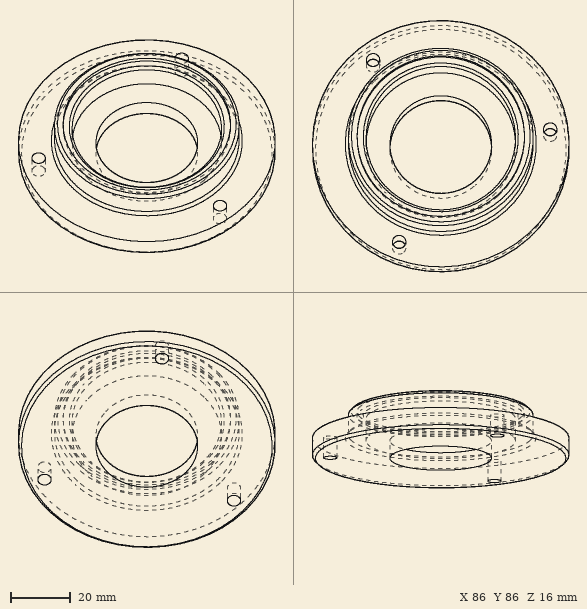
import cadquery as cq

flange_radius = 43.0
flange_height = 7.0
edge_chamfer = 1.0

total_height = 16.0
boss_radius = 31.0
foot_radius = boss_radius + edge_chamfer

bore_radius = 17.0
floor_height = 6.0
pocket_radius = 25.0
lead_in = 0.95
step_radius = 28.0
step_depth = 1.5
step_height = total_height - step_depth

hole_count = 3
hole_diameter = 4.5
hole_circle_radius = 37.0
first_hole_angle = 90.0


def make_body():
    """Revolve the ring section, given as (radius, height) points, about Z."""
    section = [
        (bore_radius, 0),
        (flange_radius - edge_chamfer, 0),
        (flange_radius, edge_chamfer),
        (flange_radius, flange_height),
        (foot_radius, flange_height),
        (boss_radius, flange_height + edge_chamfer),
        (boss_radius, total_height - edge_chamfer),
        (boss_radius - edge_chamfer, total_height),
        (step_radius, total_height),
        (step_radius, step_height),
        (pocket_radius + lead_in, step_height),
        (pocket_radius, step_height - lead_in),
        (pocket_radius, floor_height),
        (bore_radius, floor_height),
    ]
    return cq.Workplane("XZ").polyline(section).close().revolve(360, (0, 0), (0, 1))


def make_mounting_holes():
    """Cylinders for the equally spaced holes through the flange."""
    return (
        cq.Workplane("XY")
        .polarArray(hole_circle_radius, first_hole_angle, 360, hole_count)
        .circle(hole_diameter / 2)
        .extrude(flange_height)
    )


result = make_body().cut(make_mounting_holes())